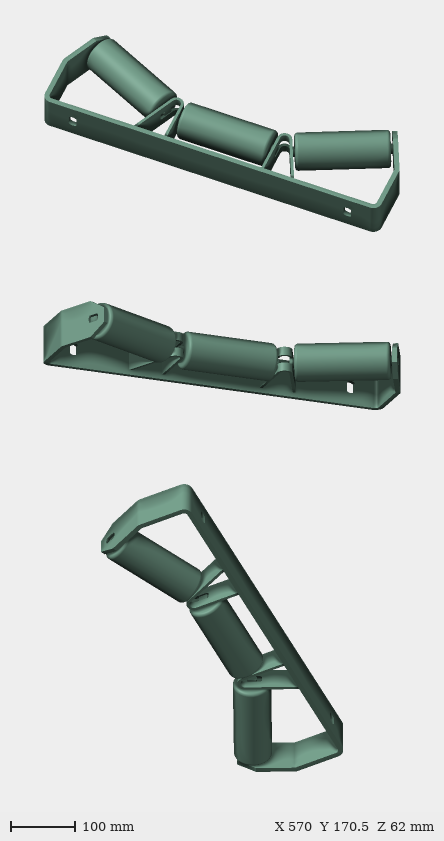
import cadquery as cq
import math


frame_length = 570.0
frame_height = 170.5
strap_width = 60.0
strap_thickness = 8.0
base_bend_inside = 6.0
arm_bend_inside = 4.5
arm_angle = 25.0
arm_bend_height = 86.5
arm_tip_width = 24.0
arm_taper_length = 29.5

mount_slot_offset = 232.5
mount_slot_width = 13.5
mount_slot_length = 20.0
mount_slot_end_diameter = mount_slot_length

clip_width = 40.0
clip_centre_z = -2.0
clip_thickness = 4.5
clip_bend_inside = 7.5
clip_bend_outside = clip_bend_inside + clip_thickness
clip_face_offset = 80.0
clip_bend_height = 82.5
clip_slot_width = 12.5
clip_slot_corner = 3.5
clip_slot_clearance = 1.5

roller_diameter = 60.0
roller_length = 150.0
roller_edge_radius = 5.0
axle_diameter = 16.0
axle_flat_thickness = 10.0
axle_flat_length = clip_thickness
centre_roller_height = 71.0
centre_roller_z = -2.0

arm_slot_width = 12.0
arm_slot_length = 20.5
arm_slot_end_diameter = 18.0
arm_slot_clearance = 0.5
arm_axle_distance = 67.0

lean = math.radians(arm_angle)
up_arm = cq.Vector(math.sin(lean), math.cos(lean), 0)
into_arm = cq.Vector(math.cos(lean), -math.sin(lean), 0)

frame_left = -frame_length / 2
arm_corner = cq.Vector(frame_left, arm_bend_height, 0)
arm_length = (frame_height - arm_bend_height) / up_arm.y
arm_axle_point = arm_corner + up_arm * arm_axle_distance

clip_bend_x = -clip_face_offset - clip_bend_outside
clip_bend_centre = cq.Vector(clip_bend_x, clip_bend_height, 0)
leaning_face_point = clip_bend_centre - into_arm * clip_bend_outside

side_gap = (leaning_face_point - arm_corner).dot(into_arm) - strap_thickness
side_roller_centre = arm_axle_point + into_arm * (strap_thickness + side_gap / 2)
axle_shoulder_length = side_gap
axle_length = axle_shoulder_length + 2 * axle_flat_length

side_roller_z = (axle_flat_thickness - arm_slot_width) / 2


def mirrored_outline(left_points):
    """Close a left-hand chain of points with its mirror image."""
    right_points = [(-x, y) for x, y in reversed(left_points)]
    return left_points + right_points


def left_plane(origin):
    """Plane lying on an arm face: local x up the arm, local y along Z."""
    return cq.Plane(origin=origin.toTuple(), xDir=up_arm.toTuple(), normal=into_arm.toTuple())


def both_sides(left_body):
    return left_body.union(left_body.mirror("YZ"))


def slot_cutter(plane, length, width, end_diameter, depth):
    """Flat-sided slot cutter along local x, its ends arcs of a diameter above the width."""
    half_width = width / 2
    arc_rise = end_diameter / 2 - math.sqrt((end_diameter / 2) ** 2 - half_width ** 2)
    half_length = length / 2
    half_side = half_length - arc_rise
    return (
        cq.Workplane(plane)
        .moveTo(-half_side, -half_width)
        .lineTo(half_side, -half_width)
        .threePointArc((half_length, 0), (half_side, half_width))
        .lineTo(-half_side, half_width)
        .threePointArc((-half_length, 0), (-half_side, -half_width))
        .close()
        .extrude(depth)
    )


def make_strap():
    """Bent strap of constant thickness, with its four bends rounded."""
    inner_corner_drop = strap_thickness * math.tan(lean / 2)
    inner_x = frame_left + strap_thickness
    outer_tip = arm_corner + up_arm * arm_length
    inner_tip = outer_tip + into_arm * strap_thickness
    outer_bends = [(frame_left, 0), (frame_left, arm_bend_height)]
    inner_bends = [(inner_x, strap_thickness), (inner_x, arm_bend_height - inner_corner_drop)]
    tips = [(outer_tip.x, outer_tip.y), (inner_tip.x, inner_tip.y)]
    left_points = outer_bends + tips + inner_bends[::-1]
    strap = (
        cq.Workplane("XY", origin=(0, 0, -strap_width / 2))
        .polyline(mirrored_outline(left_points))
        .close()
        .extrude(strap_width)
    )
    inside_radii = (base_bend_inside, arm_bend_inside)
    for outer, inner, inside_radius in zip(outer_bends, inner_bends, inside_radii):
        outside_radius = inside_radius + strap_thickness
        for (x, y), radius in ((outer, outside_radius), (inner, inside_radius)):
            for side in (1, -1):
                bend_edge = cq.selectors.NearestToPointSelector((side * x, y, 0))
                strap = strap.edges("|Z").edges(bend_edge).fillet(radius)
    return strap


def make_arm_taper_cuts():
    """Triangular offcuts that narrow each arm towards its tip."""
    tip_plane = left_plane(arm_corner + up_arm * arm_length)
    cuts = cq.Workplane()
    for side in (1, -1):
        offcut = (
            cq.Workplane(tip_plane)
            .polyline([
                (0, side * arm_tip_width / 2),
                (0, side * strap_width / 2),
                (-arm_taper_length, side * strap_width / 2),
            ])
            .close()
            .extrude(strap_thickness)
        )
        cuts = cuts.add(offcut)
    return both_sides(cuts.combine())


def make_arm_slots():
    """Axle slots, each with its lower end just below the axle."""
    slot_rise = (arm_slot_length - axle_diameter) / 2 - arm_slot_clearance
    slot_centre = arm_axle_point + up_arm * slot_rise
    slot = slot_cutter(
        left_plane(slot_centre),
        arm_slot_length,
        arm_slot_width,
        arm_slot_end_diameter,
        strap_thickness,
    )
    return both_sides(slot)


def make_mount_slots():
    plane = cq.Plane(origin=(-mount_slot_offset, 0, 0), xDir=(0, 0, 1), normal=(0, 1, 0))
    slot = slot_cutter(
        plane, mount_slot_length, mount_slot_width, mount_slot_end_diameter, strap_thickness
    )
    return both_sides(slot)


def make_frame():
    frame = make_strap()
    frame = frame.cut(make_arm_taper_cuts())
    frame = frame.cut(make_arm_slots())
    return frame.cut(make_mount_slots())


def clip_leg_points(radius):
    """Foot and bend points on one surface of a clip, at the given bend radius."""
    leaning_top = clip_bend_centre - into_arm * radius
    leg_length = (leaning_top.y - strap_thickness) / up_arm.y
    leaning_foot = leaning_top - up_arm * leg_length
    mid_angle = (math.pi - lean) / 2
    crown = clip_bend_centre + cq.Vector(math.cos(mid_angle), math.sin(mid_angle), 0) * radius
    upright_x = clip_bend_x + radius
    return [
        (leaning_foot.x, leaning_foot.y),
        (leaning_top.x, leaning_top.y),
        (crown.x, crown.y),
        (upright_x, clip_bend_height),
        (upright_x, strap_thickness),
    ]


def make_left_clip():
    """Folded strip with one slot running over the bend, from axle to axle."""
    outer = clip_leg_points(clip_bend_outside)
    inner = clip_leg_points(clip_bend_inside)
    strip = (
        cq.Workplane("XY", origin=(0, 0, clip_centre_z - clip_width / 2))
        .moveTo(*outer[0])
        .lineTo(*outer[1])
        .threePointArc(outer[2], outer[3])
        .lineTo(*outer[4])
        .lineTo(*inner[4])
        .lineTo(*inner[3])
        .threePointArc(inner[2], inner[1])
        .lineTo(*inner[0])
        .close()
        .extrude(clip_width)
    )
    slot_bottom = centre_roller_height - axle_diameter / 2 - clip_slot_clearance
    slot_top = clip_bend_height + clip_bend_outside
    slot_height = slot_top - slot_bottom
    slot_span = 4 * clip_bend_outside
    slot_plane = cq.Plane(
        origin=(clip_bend_x - slot_span / 2, slot_bottom + slot_height / 2, clip_centre_z),
        xDir=(0, 1, 0),
        normal=(1, 0, 0),
    )
    slot = cq.Workplane(slot_plane).rect(slot_height, clip_slot_width).extrude(slot_span)
    return strip.cut(slot.edges("|X and <Y").fillet(clip_slot_corner))


def rod(centre, axis, diameter, length):
    """Cylinder along the axis, centred on the given point."""
    start = centre - axis * (length / 2)
    plane = cq.Plane(origin=start.toTuple(), xDir=(0, 0, 1), normal=axis.toTuple())
    return cq.Workplane(plane).circle(diameter / 2).extrude(length)


def make_roller(centre, axis):
    """Roller with a rounded shell and an axle whose ends have two flats facing Z."""
    shell = rod(centre, axis, roller_diameter, roller_length)
    shell = shell.edges("%CIRCLE").fillet(roller_edge_radius)
    shoulders = rod(centre, axis, axle_diameter, axle_shoulder_length)
    flats_plane = cq.Plane(origin=centre.toTuple(), xDir=(0, 0, 1), normal=axis.toTuple())
    flats = cq.Workplane(flats_plane).box(axle_flat_thickness, axle_diameter, axle_length)
    axle_ends = rod(centre, axis, axle_diameter, axle_length).intersect(flats)
    return shell.union(shoulders).union(axle_ends)


frame = make_frame()

left_clip = make_left_clip()
clips = [left_clip, left_clip.mirror("YZ")]

rollers = [make_roller(cq.Vector(0, centre_roller_height, centre_roller_z), cq.Vector(1, 0, 0))]
for side in (-1, 1):
    roller_centre = cq.Vector(-side * side_roller_centre.x, side_roller_centre.y, side_roller_z)
    roller_axis = cq.Vector(-side * into_arm.x, into_arm.y, 0)
    rollers.append(make_roller(roller_centre, roller_axis))

result = cq.Compound.makeCompound([
    frame.val(),
    *[clip.val() for clip in clips],
    *[roller.val() for roller in rollers],
])